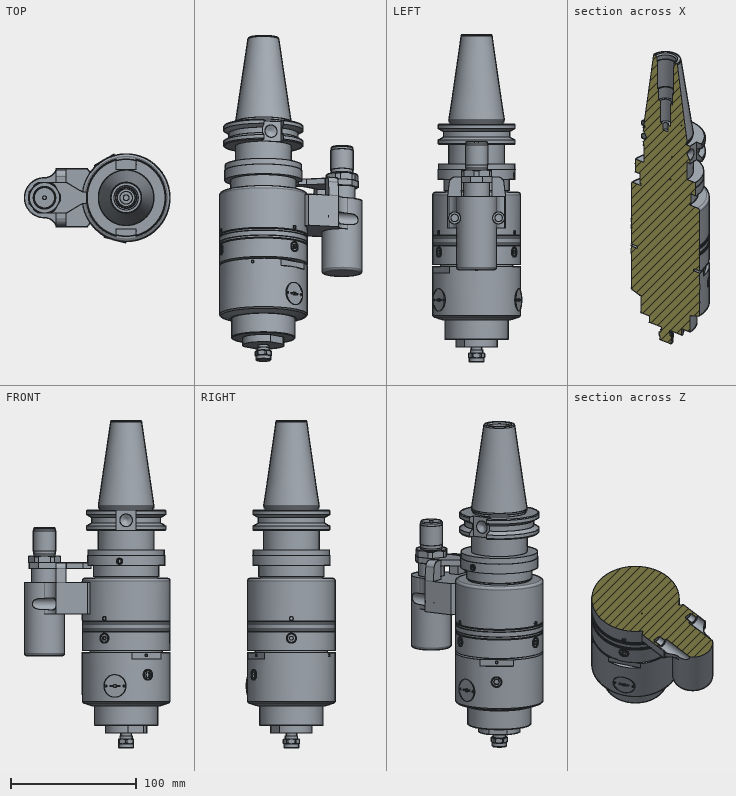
import cadquery as cq
import math


TAPER_LENGTH = 68.0
TOTAL_LENGTH = 260.9
TIP_Z = TAPER_LENGTH
FLANGE_TOP_Z = -3.2
FLANGE_HEIGHT = 16.4
FLANGE_BOTTOM_Z = FLANGE_TOP_Z - FLANGE_HEIGHT
FLANGE_MID_Z = (FLANGE_TOP_Z + FLANGE_BOTTOM_Z) / 2
COLLAR_TOP_Z = -35.0
COLLAR_BOTTOM_Z = -47.4
COLLAR_STEP_Z = -39.6
HEAD_TOP_Z = -57.5
SEAM_TOP_Z = -115.2
SEAM_HEIGHT = 1.5
LOWER_TOP_Z = SEAM_TOP_Z - SEAM_HEIGHT
LOWER_RIM_Z = -155.8
LOWER_BOTTOM_Z = -159.4
BOSS_BOTTOM_Z = -175.0
PLATE_BOTTOM_Z = -180.8
STUB_STEP_Z = -183.0
HEX_TOP_Z = -185.4
HEX_BOTTOM_Z = -189.6
BOTTOM_Z = TIP_Z - TOTAL_LENGTH

TAPER_RADIUS = 44.45 / 2
TIP_RADIUS = 12.4
TIP_CHAMFER_WIDTH = 0.5
TIP_CHAMFER_HEIGHT = 1.0
LAND_RADIUS = 22.0
RELIEF_RADIUS = 21.2
LAND_BOTTOM_Z = -1.5
FLANGE_RADIUS = 63.5 / 2
FLANGE_GROOVE_RADIUS = 27.6
FLANGE_GROOVE_FLOOR = 4.4
FLANGE_GROOVE_ANGLE = 30
FLANGE_CHAMFER = 0.8
SHANK_RADIUS = 22.3
COLLAR_RADIUS = 30.8
COLLAR_STEP = 0.3
NECK_RADIUS = 26.1
NECK_GROOVE_RADIUS = 25.0
NECK_GROOVE_HEIGHT = 1.3
HEAD_RADIUS = 35.0
HEAD_TOP_FILLET = 2.2
SEAM_RADIUS = 28.9
LOWER_CHAMFER = 1.2
LOWER_CONE_RADIUS = 26.5
BOSS_RADIUS = 25.3
BOSS_CHAMFER = 0.6
PLATE_RADIUS = 16.6
PLATE_HALF_FLATS = 15.0
STUB_RADIUS = 4.3
STUB_STEP_RADIUS = 5.0
HEX_ACROSS_FLATS = 12.0
HEX_CORNER_RADIUS = 6.6
HEX_CHAMFER = 0.8
STUB_END_RADIUS = 5.9
STUB_END_CHAMFER = 0.6

HEAD_GROOVES = [
    (-92.0, 0.7, 0.5),
    (-93.9, 0.2, 0.2),
    (-97.9, 0.2, 0.2),
    (-99.9, 0.7, 0.5),
]

BORE_STEPS = [(8.5, 5.0), (8.0, 30.0), (7.0, 40.0), (5.0, 60.0), (2.3, 66.0)]
BORE_CHAMFER = 1.2
SLOT_WIDTH = 16.1
SLOT_FRONT_FLOOR = 25.0
SLOT_REAR_FLOOR = 22.6
SLOT_DIMPLE_RADIUS = 5.0
SLOT_DIMPLE_DEPTH = 3.0

FLAT_ANGLES = (-60, 120)
FLAT_DISTANCE = 32.4
FLAT_HEIGHT = 5.1
MARK_ANGLES = (-60, 60, 180)
MARK_DIAMETER = 2.0
MARK_DEPTH = 1.0
MARK_Z = -119.0
LOWER_SCREW_ANGLE = -60
LOWER_SCREW_Z = -134.4
LOWER_SCREW_RADIUS = 4.25
LOWER_SCREW_HEX = 4.0
PLUG_ANGLES = (-105, 120)
PLUG_RADIUS = 9.0
PLUG_Z = -143.3
PLUG_FACE = 34.9
PLUG_PIN_OFFSET = 7.6
PLUG_PIN_DIAMETER = 1.6
PLUG_CENTRE_DIAMETER = 2.5
PLUG_SLOT_LENGTH = 8.0
PLUG_SLOT_WIDTH = 1.0
CLAMP_ANGLES = (-120, 0, 120)
CLAMP_Z = -105.3
CLAMP_RADIUS = 4.0
CLAMP_HEX = 3.0
DOT_Z = -89.6
DOT_DIAMETER = 3.0
COLLAR_SCREW_ANGLE = -100
COLLAR_SCREW_Z = -44.0
COLLAR_SCREW_RADIUS = 2.5
COLLAR_SCREW_HEX = 2.5
SCREW_RIM = 0.7
SCREW_RECESS = 0.6
SOCKET_DEPTH = 2.0

ARM_X = -65.0
ARM_RADIUS = 16.0
ARM_TOP_Z = -60.9
ARM_BOTTOM_Z = -119.3
ARM_FILLET = 2.0
BLOCK_BOTTOM_Z = -86.1
BLOCK_X = -55.8
BLOCK_HALF_WIDTH = 23.1
BLOCK_BLEND_RADIUS = 10.0
BLOCK_CHAMFER_X = 2.2
BLOCK_CHAMFER_Y = 3.0
BOLT_Y = 17.5
BOLT_Z = -78.0
BOLT_HEAD_DIAMETER = 9.5
BOLT_COUNTERBORE_DEPTH = 8.0
BOLT_HOLE_DIAMETER = 6.0
BOLT_HOLE_DEPTH = 14.0
LUG_THICKNESS = 8.0
LUG_TOP_Z = -45.3
LUG_INNER_Y = 12.2
LUG_TOP_Y = 21.2
LUG_FILLET = 5.0

PIN_BASE_RADIUS = 10.4
TONGUE_TOP_Z = -45.2
TONGUE_BOTTOM_Z = -49.9
TONGUE_HALF_WIDTH = 12.2
TONGUE_END_HALF = 4.8
TONGUE_NOSE_HALF = 4.4
TONGUE_TAPER_X = -47.6
TONGUE_NOSE_X = -34.4
TONGUE_TIP_X = -27.8
NUT_TOP_Z = -39.7
NUT_ACROSS_FLATS = 24.0
NUT_RADIUS = 12.9
NUT_CHAMFER = 0.8
PIN_TOP_Z = -17.2
PIN_RADIUS = 9.0
PIN_CHAMFER_HEIGHT = 1.0
PIN_CHAMFER_WIDTH = 0.6
PIN_UNDERCUT_TOP_Z = -38.4
PIN_UNDERCUT_RADIUS = 8.5
PIN_END_RADIUS = 8.7
PIN_SLEEVE_TOP_Z = -20.0
PIN_SLEEVE_BOTTOM_Z = -35.8
PIN_CENTRE_DIAMETER = 3.0
PIN_CENTRE_DEPTH = 2.0


def cylinder(radius, z_bottom, z_top, x=0.0):
    """Vertical cylinder between two levels."""
    return cq.Workplane("XY", origin=(x, 0, z_bottom)).circle(radius).extrude(z_top - z_bottom)


def hexagon(across_flats, z_bottom, z_top, x=0.0, turn=0.0):
    """Vertical hexagonal prism between two levels; at zero turn its corners point along X."""
    corner_diameter = across_flats / math.cos(math.pi / 6)
    prism = cq.Workplane("XY").polygon(6, corner_diameter).extrude(z_top - z_bottom)
    return prism.rotate((0, 0, 0), (0, 0, 1), turn).translate((x, 0, z_bottom))


def ring(outer, inner, z_bottom, z_top):
    """Tube round the spindle axis between two levels."""
    return cylinder(outer, z_bottom, z_top).cut(cylinder(inner, z_bottom, z_top))


def radial_plane(angle, distance, z):
    """Workplane facing outward from the spindle axis, with its local X horizontal."""
    turn = math.radians(angle)
    outward = (math.cos(turn), math.sin(turn), 0)
    sideways = (-math.sin(turn), math.cos(turn), 0)
    origin = (distance * outward[0], distance * outward[1], z)
    return cq.Workplane(cq.Plane(origin=origin, xDir=sideways, normal=outward))


def make_spindle():
    """Shank, flange, collar and head as one revolved outline, from the tip down."""
    wall_height = (FLANGE_RADIUS - FLANGE_GROOVE_RADIUS) * math.tan(math.radians(FLANGE_GROOVE_ANGLE))
    groove_half_floor = FLANGE_GROOVE_FLOOR / 2
    groove_half_mouth = groove_half_floor + wall_height
    flange_inner = FLANGE_RADIUS - FLANGE_CHAMFER
    neck_groove_top_z = HEAD_TOP_Z + NECK_GROOVE_HEIGHT
    fillet_bow = HEAD_TOP_FILLET * (1 - math.sqrt(0.5))
    outline = (
        cq.Workplane("XZ")
        .moveTo(0, TIP_Z)
        .lineTo(TIP_RADIUS - TIP_CHAMFER_WIDTH, TIP_Z)
        .lineTo(TIP_RADIUS, TIP_Z - TIP_CHAMFER_HEIGHT)
        .lineTo(TAPER_RADIUS, 0)
        .lineTo(LAND_RADIUS, 0)
        .lineTo(LAND_RADIUS, LAND_BOTTOM_Z)
        .lineTo(RELIEF_RADIUS, LAND_BOTTOM_Z)
        .lineTo(RELIEF_RADIUS, FLANGE_TOP_Z)
        .lineTo(flange_inner, FLANGE_TOP_Z)
        .lineTo(FLANGE_RADIUS, FLANGE_TOP_Z - FLANGE_CHAMFER)
        .lineTo(FLANGE_RADIUS, FLANGE_MID_Z + groove_half_mouth)
        .lineTo(FLANGE_GROOVE_RADIUS, FLANGE_MID_Z + groove_half_floor)
        .lineTo(FLANGE_GROOVE_RADIUS, FLANGE_MID_Z - groove_half_floor)
        .lineTo(FLANGE_RADIUS, FLANGE_MID_Z - groove_half_mouth)
        .lineTo(FLANGE_RADIUS, FLANGE_BOTTOM_Z + FLANGE_CHAMFER)
        .lineTo(flange_inner, FLANGE_BOTTOM_Z)
        .lineTo(SHANK_RADIUS, FLANGE_BOTTOM_Z)
        .lineTo(SHANK_RADIUS, COLLAR_TOP_Z)
        .lineTo(COLLAR_RADIUS - COLLAR_STEP, COLLAR_TOP_Z)
        .lineTo(COLLAR_RADIUS - COLLAR_STEP, COLLAR_STEP_Z)
        .lineTo(COLLAR_RADIUS, COLLAR_STEP_Z)
        .lineTo(COLLAR_RADIUS, COLLAR_BOTTOM_Z)
        .lineTo(NECK_RADIUS, COLLAR_BOTTOM_Z)
        .lineTo(NECK_RADIUS, neck_groove_top_z)
        .lineTo(NECK_GROOVE_RADIUS, neck_groove_top_z)
        .lineTo(NECK_GROOVE_RADIUS, HEAD_TOP_Z)
        .lineTo(HEAD_RADIUS - HEAD_TOP_FILLET, HEAD_TOP_Z)
        .threePointArc(
            (HEAD_RADIUS - fillet_bow, HEAD_TOP_Z - fillet_bow),
            (HEAD_RADIUS, HEAD_TOP_Z - HEAD_TOP_FILLET),
        )
        .lineTo(HEAD_RADIUS, SEAM_TOP_Z)
        .lineTo(SEAM_RADIUS, SEAM_TOP_Z)
        .lineTo(SEAM_RADIUS, LOWER_TOP_Z)
        .lineTo(HEAD_RADIUS, LOWER_TOP_Z)
        .lineTo(HEAD_RADIUS, LOWER_RIM_Z)
        .lineTo(HEAD_RADIUS - LOWER_CHAMFER, LOWER_RIM_Z - LOWER_CHAMFER)
        .lineTo(LOWER_CONE_RADIUS, LOWER_BOTTOM_Z)
        .lineTo(BOSS_RADIUS, LOWER_BOTTOM_Z)
        .lineTo(BOSS_RADIUS, BOSS_BOTTOM_Z + BOSS_CHAMFER)
        .lineTo(BOSS_RADIUS - BOSS_CHAMFER, BOSS_BOTTOM_Z)
        .lineTo(0, BOSS_BOTTOM_Z)
        .close()
    )
    spindle = outline.revolve(360, (0, 0, 0), (0, 1, 0))
    for centre_z, width, depth in HEAD_GROOVES:
        groove = ring(HEAD_RADIUS, HEAD_RADIUS - depth, centre_z - width / 2, centre_z + width / 2)
        spindle = spindle.cut(groove)
    return spindle


def make_nose():
    """Round plate with two wrench flats and the hexagonal coolant stub below it."""
    plate = cylinder(PLATE_RADIUS, PLATE_BOTTOM_Z, BOSS_BOTTOM_Z)
    height = BOSS_BOTTOM_Z - PLATE_BOTTOM_Z
    between_flats = (
        cq.Workplane("XY", origin=(0, 0, PLATE_BOTTOM_Z))
        .rect(2 * PLATE_HALF_FLATS, 2 * PLATE_RADIUS)
        .extrude(height)
        .rotate((0, 0, 0), (0, 0, 1), FLAT_ANGLES[0])
    )
    hex_blank = cylinder(HEX_CORNER_RADIUS, HEX_BOTTOM_Z, HEX_TOP_Z).faces("<Z or >Z").chamfer(HEX_CHAMFER)
    coolant_hex = hexagon(HEX_ACROSS_FLATS, HEX_BOTTOM_Z, HEX_TOP_Z, turn=90).intersect(hex_blank)
    end = cylinder(STUB_END_RADIUS, BOTTOM_Z, HEX_BOTTOM_Z).faces("<Z").chamfer(STUB_END_CHAMFER)
    return (
        plate.intersect(between_flats)
        .union(cylinder(STUB_RADIUS, HEX_BOTTOM_Z, PLATE_BOTTOM_Z))
        .union(cylinder(STUB_STEP_RADIUS, HEX_TOP_Z, STUB_STEP_Z))
        .union(coolant_hex)
        .union(end)
    )


def cut_shank_bore(body):
    for radius, depth in BORE_STEPS:
        body = body.cut(cylinder(radius, TIP_Z - depth, TIP_Z))
    mouth_radius = BORE_STEPS[0][0]
    countersink = cq.Solid.makeCone(
        mouth_radius, mouth_radius + BORE_CHAMFER, BORE_CHAMFER, pnt=cq.Vector(0, 0, TIP_Z - BORE_CHAMFER)
    )
    return body.cut(cq.Workplane(countersink))


def cut_drive_slots(body):
    """Opposed drive slots in the flange, each with a conical dimple in its floor."""
    for angle, floor in ((-90, SLOT_FRONT_FLOOR), (90, SLOT_REAR_FLOOR)):
        slot = radial_plane(angle, floor, FLANGE_MID_Z).rect(SLOT_WIDTH, FLANGE_HEIGHT).extrude(FLANGE_RADIUS)
        body = body.cut(slot)
        direction = cq.Vector(0, -math.sin(math.radians(angle)), 0)
        start = cq.Vector(0, floor * math.sin(math.radians(angle)), FLANGE_MID_Z)
        dimple = cq.Solid.makeCone(SLOT_DIMPLE_RADIUS, 0, SLOT_DIMPLE_DEPTH, pnt=start, dir=direction)
        body = body.cut(cq.Workplane(dimple))
    return body


def add_socket_screw(body, angle, surface, z, radius, across_flats):
    """Round screw head flush with the surface: recessed rim groove and a hexagon socket."""
    face = radial_plane(angle, surface, z)
    body = body.union(face.circle(radius).extrude(-SOCKET_DEPTH))
    rim = face.circle(radius).circle(radius - SCREW_RIM).extrude(-SCREW_RECESS)
    socket = face.polygon(6, across_flats / math.cos(math.pi / 6)).extrude(-SOCKET_DEPTH)
    return body.cut(rim).cut(socket)


def add_head_flats(body):
    """Short flats at the top of the lower head and the index marks at their level."""
    flat_z = LOWER_TOP_Z - FLAT_HEIGHT / 2
    for angle in FLAT_ANGLES:
        flat = radial_plane(angle, FLAT_DISTANCE, flat_z).rect(HEAD_RADIUS, FLAT_HEIGHT).extrude(HEAD_RADIUS)
        body = body.cut(flat)
    for angle in MARK_ANGLES:
        surface = FLAT_DISTANCE if angle in FLAT_ANGLES else HEAD_RADIUS
        body = body.cut(radial_plane(angle, surface, MARK_Z).circle(MARK_DIAMETER / 2).extrude(-MARK_DEPTH))
    return body


def add_plugs(body):
    """Flat-faced round plugs whose edges stand slightly proud of the head."""
    for angle in PLUG_ANGLES:
        face = radial_plane(angle, PLUG_FACE, PLUG_Z)
        body = body.cut(face.circle(PLUG_RADIUS).extrude(HEAD_RADIUS))
        body = body.union(face.circle(PLUG_RADIUS).extrude(-PLUG_RADIUS))
        pins = face.pushPoints([(-PLUG_PIN_OFFSET, 0), (PLUG_PIN_OFFSET, 0)])
        body = body.cut(pins.circle(PLUG_PIN_DIAMETER / 2).extrude(-MARK_DEPTH))
        body = body.cut(face.slot2D(PLUG_SLOT_LENGTH, PLUG_SLOT_WIDTH).extrude(-MARK_DEPTH))
        body = body.cut(face.circle(PLUG_CENTRE_DIAMETER / 2).extrude(-MARK_DEPTH))
    return body


def add_screws(body):
    for angle in CLAMP_ANGLES:
        body = add_socket_screw(body, angle, HEAD_RADIUS, CLAMP_Z, CLAMP_RADIUS, CLAMP_HEX)
        dot = radial_plane(angle, HEAD_RADIUS, DOT_Z).circle(DOT_DIAMETER / 2).extrude(-MARK_DEPTH)
        body = body.cut(dot)
    body = add_socket_screw(
        body, LOWER_SCREW_ANGLE, HEAD_RADIUS, LOWER_SCREW_Z, LOWER_SCREW_RADIUS, LOWER_SCREW_HEX
    )
    return add_socket_screw(
        body, COLLAR_SCREW_ANGLE, COLLAR_RADIUS, COLLAR_SCREW_Z, COLLAR_SCREW_RADIUS, COLLAR_SCREW_HEX
    )


def make_arm():
    """Upright cylinder blended into a block that joins the head."""
    barrel = cylinder(ARM_RADIUS, ARM_BOTTOM_Z, ARM_TOP_Z, ARM_X).faces("<Z").edges().fillet(ARM_FILLET)
    run = BLOCK_X - ARM_X
    blend_y = ARM_RADIUS + BLOCK_BLEND_RADIUS - math.sqrt(BLOCK_BLEND_RADIUS**2 - run**2)
    half_run = run / 2
    blend_mid_y = ARM_RADIUS + BLOCK_BLEND_RADIUS - math.sqrt(BLOCK_BLEND_RADIUS**2 - half_run**2)
    chamfer_end_y = BLOCK_HALF_WIDTH - BLOCK_CHAMFER_Y
    chamfer_end_x = -math.sqrt(HEAD_RADIUS**2 - chamfer_end_y**2)
    chamfer_start_x = chamfer_end_x - BLOCK_CHAMFER_X
    block = (
        cq.Workplane("XY", origin=(0, 0, BLOCK_BOTTOM_Z))
        .moveTo(ARM_X, ARM_RADIUS)
        .threePointArc((ARM_X + half_run, blend_mid_y), (BLOCK_X, blend_y))
        .lineTo(BLOCK_X, BLOCK_HALF_WIDTH)
        .lineTo(chamfer_start_x, BLOCK_HALF_WIDTH)
        .lineTo(chamfer_end_x, chamfer_end_y)
        .lineTo(chamfer_end_x, -chamfer_end_y)
        .lineTo(chamfer_start_x, -BLOCK_HALF_WIDTH)
        .lineTo(BLOCK_X, -BLOCK_HALF_WIDTH)
        .lineTo(BLOCK_X, -blend_y)
        .threePointArc((ARM_X + half_run, -blend_mid_y), (ARM_X, -ARM_RADIUS))
        .close()
        .extrude(ARM_TOP_Z - BLOCK_BOTTOM_Z)
    )
    arm = barrel.union(block)
    bolts = cq.Workplane("YZ", origin=(BLOCK_X, 0, 0)).pushPoints([(-BOLT_Y, BOLT_Z), (BOLT_Y, BOLT_Z)])
    clearance_length = ARM_X - ARM_RADIUS - BLOCK_X
    arm = arm.cut(bolts.circle(BOLT_HEAD_DIAMETER / 2).extrude(clearance_length))
    arm = arm.cut(bolts.circle(BOLT_HEAD_DIAMETER / 2).extrude(BOLT_COUNTERBORE_DEPTH))
    return arm.cut(bolts.circle(BOLT_HOLE_DIAMETER / 2).extrude(BOLT_HOLE_DEPTH))


def make_lugs():
    """Pair of upright lugs on the block, either side of the tongue."""
    lug = (
        cq.Workplane("YZ", origin=(BLOCK_X, 0, 0))
        .moveTo(LUG_INNER_Y, ARM_TOP_Z)
        .lineTo(BLOCK_HALF_WIDTH, ARM_TOP_Z)
        .lineTo(LUG_TOP_Y, LUG_TOP_Z)
        .lineTo(LUG_INNER_Y, LUG_TOP_Z)
        .close()
        .extrude(LUG_THICKNESS)
        .edges("|X")
        .edges(">Z")
        .edges(">Y")
        .fillet(LUG_FILLET)
    )
    return lug.union(lug.mirror("XZ"))


def make_tongue():
    """Flat tongue round the pin, tapering towards the spindle and entering the collar."""
    end_x = ARM_X - TONGUE_HALF_WIDTH
    corner_x = end_x + TONGUE_HALF_WIDTH - TONGUE_END_HALF
    upper_side = [
        (end_x, TONGUE_END_HALF),
        (corner_x, TONGUE_HALF_WIDTH),
        (TONGUE_TAPER_X, TONGUE_HALF_WIDTH),
        (TONGUE_NOSE_X, TONGUE_NOSE_HALF),
        (TONGUE_TIP_X, TONGUE_NOSE_HALF),
    ]
    lower_side = [(x, -y) for x, y in reversed(upper_side)]
    return (
        cq.Workplane("XY", origin=(0, 0, TONGUE_BOTTOM_Z))
        .polyline(upper_side + lower_side)
        .close()
        .extrude(TONGUE_TOP_Z - TONGUE_BOTTOM_Z)
    )


def make_pin():
    """Locating pin with its base, chamfered nut and centre hole."""
    nut_blank = cylinder(NUT_RADIUS, TONGUE_TOP_Z, NUT_TOP_Z, ARM_X).faces(">Z").chamfer(NUT_CHAMFER)
    nut = hexagon(NUT_ACROSS_FLATS, TONGUE_TOP_Z, NUT_TOP_Z, ARM_X).intersect(nut_blank)
    stem = cylinder(PIN_END_RADIUS, PIN_UNDERCUT_TOP_Z, PIN_TOP_Z, ARM_X)
    stem = stem.faces(">Z").chamfer(PIN_CHAMFER_HEIGHT, PIN_CHAMFER_WIDTH)
    sleeve = cylinder(PIN_RADIUS, PIN_SLEEVE_BOTTOM_Z, PIN_SLEEVE_TOP_Z, ARM_X)
    centre = cylinder(PIN_CENTRE_DIAMETER / 2, PIN_TOP_Z - PIN_CENTRE_DEPTH, PIN_TOP_Z, ARM_X)
    return (
        cylinder(PIN_BASE_RADIUS, ARM_TOP_Z, TONGUE_BOTTOM_Z, ARM_X)
        .union(nut)
        .union(cylinder(PIN_UNDERCUT_RADIUS, NUT_TOP_Z, PIN_UNDERCUT_TOP_Z, ARM_X))
        .union(stem.union(sleeve).cut(centre))
    )


def make_tool_holder():
    body = make_spindle().union(make_nose())
    body = cut_shank_bore(body)
    body = cut_drive_slots(body)
    body = add_head_flats(body)
    body = add_plugs(body)
    body = add_screws(body)
    for piece in (make_arm(), make_lugs(), make_tongue(), make_pin()):
        body = body.union(piece)
    return body


result = make_tool_holder()